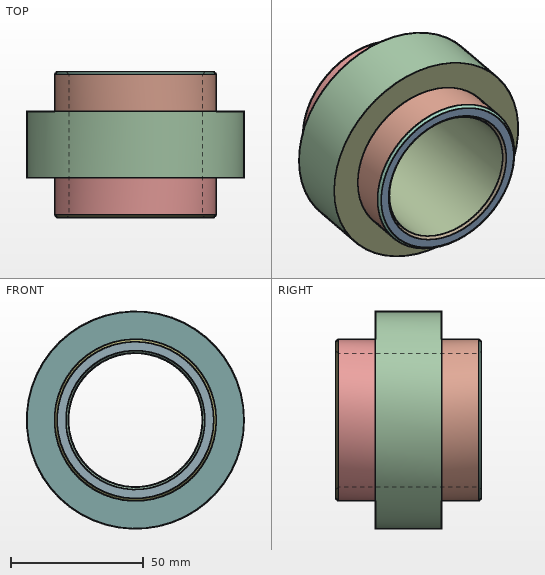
import cadquery as cq

flange_diameter = 82.0
flange_width = 25.0
sleeve_diameter = 61.0
sleeve_length = 55.0
bore_diameter = 50.4
edge_chamfer = 1.0


def centred_cylinder(diameter, length):
    """Cylinder along Y, centred on the origin."""
    return cq.Workplane("XZ", origin=(0, length / 2, 0)).circle(diameter / 2).extrude(length)


flange = centred_cylinder(flange_diameter, flange_width)
sleeve = centred_cylinder(sleeve_diameter, sleeve_length)
bore = centred_cylinder(bore_diameter, sleeve_length)

body = flange.union(sleeve).cut(bore)

result = body.faces("<Y or >Y").edges().chamfer(edge_chamfer)